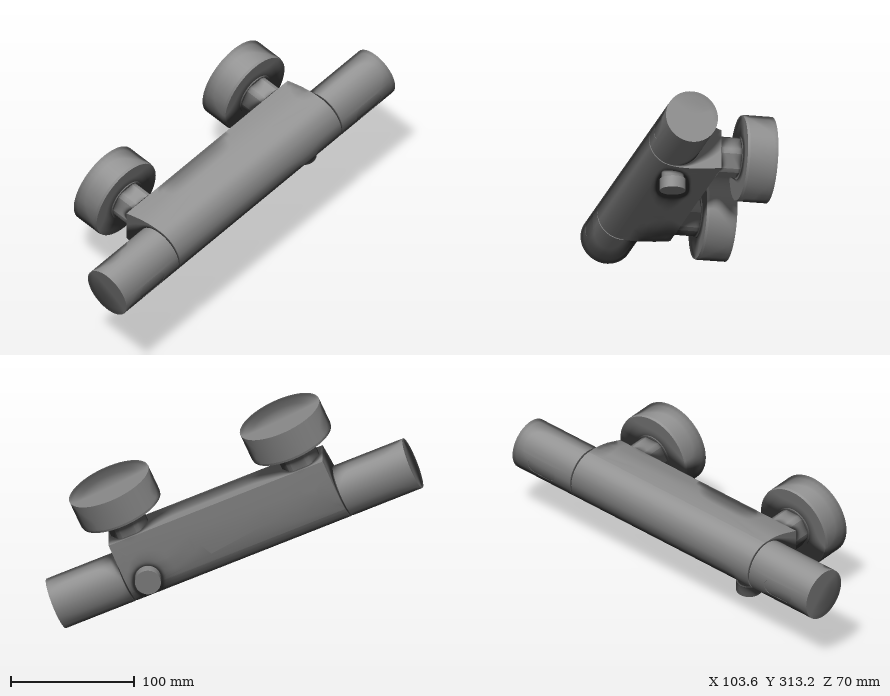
import cadquery as cq
import math


inlet_spacing = 150.0
inlet_positions = (-inlet_spacing / 2, inlet_spacing / 2)
rosette_diameter = 70.0
rosette_length = 25.0
rosette_chamfer_length = 2.0
rosette_chamfer_depth = 0.5
wall_disc_diameter = 69.0
wall_disc_thickness = 7.0
nut_flange_diameter = 35.0
nut_flange_thickness = 1.0
nut_sides = 6
nut_turn = 180.0 / nut_sides
nut_across_flats = 30.0
nut_corner_diameter = 32.5
nut_end = 42.6

axis_x = 82.05
axis_z = 4.0
handle_diameter = 43.0
handle_radius = handle_diameter / 2
body_length = 188.0
body_back_x = 43.6
body_back_top_z = 16.0
body_back_bottom_z = -16.2
top_start_slope = 0.4
bottom_start_slope = -0.13
bottom_blend_angle = math.radians(-70)
neck_diameter = 35.0
neck_length = 1.5

overall_length = 313.22
handle_start = body_length / 2 + neck_length
handle_length = overall_length / 2 - handle_start
handle_middle = handle_start + handle_length / 2
thumb_recess_length = 28.4
thumb_recess_width = 15.0
thumb_recess_depth = 0.3

outlet_x = 79.6
outlet_y = inlet_positions[1]
outlet_neck_diameter = 18.0
outlet_collar_diameter = 20.96
outlet_bottom_z = -31.8
outlet_collar_top_z = -22.3
outlet_seat_z = -12.0


def cylinder_along_x(y, diameter, start, length):
    """Cylinder on the inlet axis at the given Y."""
    plane = cq.Workplane("YZ", origin=(start, y, 0))
    return plane.circle(diameter / 2).extrude(length)


def cylinder_along_y(diameter, middle, length):
    """Cylinder on the valve axis, centred at Y = middle."""
    plane = cq.Workplane("XZ", origin=(axis_x, middle - length / 2, axis_z))
    return plane.circle(diameter / 2).extrude(-length)


def cylinder_along_z(diameter, bottom, top):
    """Cylinder on the outlet axis."""
    plane = cq.Workplane("XY", origin=(outlet_x, outlet_y, bottom))
    return plane.circle(diameter / 2).extrude(top - bottom)


def make_wall_disc(y):
    """Disc against the wall that fills the pocket in the back of a rosette."""
    return cylinder_along_x(y, wall_disc_diameter, 0, wall_disc_thickness)


def make_rosette(y):
    """Round cover with a chamfered front rim and a pocket for the wall disc."""
    radius = rosette_diameter / 2
    half_section = (
        cq.Workplane("XY")
        .lineTo(0, radius)
        .lineTo(rosette_length - rosette_chamfer_length, radius)
        .lineTo(rosette_length, radius - rosette_chamfer_depth)
        .lineTo(rosette_length, 0)
        .close()
    )
    cover = half_section.revolve(360, (0, 0, 0), (1, 0, 0)).translate((0, y, 0))
    return cover.cut(make_wall_disc(y))


def make_nut(y):
    """Hexagon nut with rounded corners and a round flange against the rosette."""
    flange = cylinder_along_x(y, nut_flange_diameter, rosette_length, nut_flange_thickness)
    hex_start = rosette_length + nut_flange_thickness
    hex_length = nut_end - hex_start
    plane = cq.Workplane("YZ", origin=(hex_start, y, 0))
    turned_plane = plane.transformed(rotate=(0, 0, nut_turn))
    hexagon = turned_plane.polygon(nut_sides, nut_across_flats, circumscribed=True).extrude(hex_length)
    rounding = cylinder_along_x(y, nut_corner_diameter, hex_start, hex_length)
    return flange.union(hexagon.intersect(rounding))


def make_outlet():
    """Collar and neck; the neck is seated in the underside of the valve body."""
    collar = cylinder_along_z(outlet_collar_diameter, outlet_bottom_z, outlet_collar_top_z)
    neck = cylinder_along_z(outlet_neck_diameter, outlet_collar_top_z, outlet_seat_z)
    return collar.union(neck)


def make_body(outlet):
    """Wedge-like profile, flat at the back and round at the front, with a neck at each end."""
    blend_cos = math.cos(bottom_blend_angle)
    blend_sin = math.sin(bottom_blend_angle)
    blend_point = (axis_x + handle_radius * blend_cos, axis_z + handle_radius * blend_sin)
    profile = (
        cq.Workplane("XZ", origin=(0, -body_length / 2, 0))
        .moveTo(body_back_x, body_back_bottom_z)
        .lineTo(body_back_x, body_back_top_z)
        .spline(
            [(axis_x, axis_z + handle_radius)],
            tangents=[(1, top_start_slope), (1, 0)],
            includeCurrent=True,
        )
        .threePointArc((axis_x + handle_radius, axis_z), blend_point)
        .spline(
            [(body_back_x, body_back_bottom_z)],
            tangents=[(blend_sin, -blend_cos), (-1, -bottom_start_slope)],
            includeCurrent=True,
        )
        .close()
    )
    block = profile.extrude(-body_length)
    necks = cylinder_along_y(neck_diameter, 0, 2 * handle_start)
    return block.union(necks).cut(outlet)


def make_thumb_recess(side):
    """Shallow rounded slot on the +X face, with a floor concentric with the handle."""
    slot_start = axis_x + handle_radius / 2
    plane = cq.Workplane("YZ", origin=(slot_start, side * handle_middle, axis_z))
    slot = plane.slot2D(thumb_recess_length, thumb_recess_width).extrude(handle_radius)
    core_diameter = handle_diameter - 2 * thumb_recess_depth
    return slot.cut(cylinder_along_y(core_diameter, side * handle_middle, handle_length))


def make_handle(side):
    grip = cylinder_along_y(handle_diameter, side * handle_middle, handle_length)
    return grip.cut(make_thumb_recess(side))


rosettes = [make_rosette(y) for y in inlet_positions]
wall_discs = [make_wall_disc(y) for y in inlet_positions]
nuts = [make_nut(y) for y in inlet_positions]
outlet = make_outlet()
body = make_body(outlet)
handles = [make_handle(side) for side in (-1, 1)]

parts = rosettes + wall_discs + nuts + handles + [body, outlet]
result = cq.Compound.makeCompound([part.val() for part in parts])